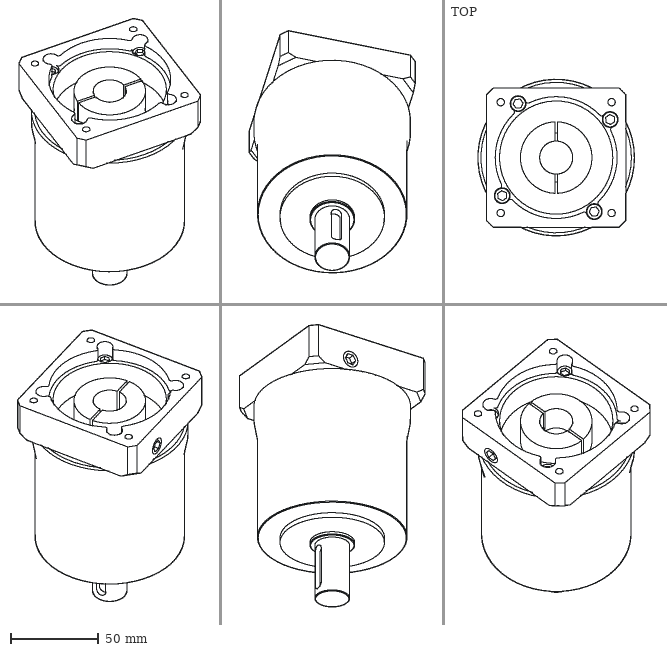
import cadquery as cq
import math

total_height = 150.5

flange_side = 80.0
flange_height = 23.6
flange_corner = 3.9
flange_base_bevel = 3.2
pilot_bore_dia = 70.0
pilot_bore_depth = 8.0
clearance_bore_dia = 65.0
flange_spigot_dia = 70.0
flange_spigot_length = 2.7

motor_hole_count = 4
motor_hole_first_angle = 45.0
motor_hole_dia = 4.2
motor_hole_radius = 45.0
motor_hole_depth = 12.0
drill_tip_angle = 118.0

pocket_count = 4
pocket_circle_radius = 38.0
pocket_first_angle = 35.2
pocket_dia = 9.0
pocket_depth = 12.0
pocket_mouth_fillet = 1.5
head_dia = 8.5
head_height = 2.4
head_socket_width = 5.0
head_socket_depth = 2.3

plug_dia = 10.0
plug_length = 6.0
plug_y = 14.0
plug_drop = 16.0
plug_socket_width = 6.0
plug_socket_depth = 3.9

hub_dia = 41.1
hub_bore_dia = 19.0
hub_drop = 9.0
hub_slot_width = 1.5
hub_web_dia = 28.3
hub_web_height = 2.3

collar_dia = 90.0
collar_bevel_height = 0.6
collar_bevel_width = 1.8
collar_height = 10.2
taper_height = 11.5
barrel_dia = 86.0
barrel_bottom_z = 40.0
barrel_bevel = 0.5
boss_dia = 60.0
boss_height = 3.0
seal_dia = 25.7
seal_height = 2.0
seal_bevel = 0.5

shaft_dia = 20.0
shaft_bevel = 0.5
keyway_width = 6.0
keyway_length = 28.0
keyway_depth = 3.5
keyway_end_gap = 4.0

flange_half = flange_side / 2
flange_bottom_z = total_height - flange_height
cavity_floor_z = flange_bottom_z - flange_spigot_length
pilot_ledge_z = total_height - pilot_bore_depth
pocket_floor_z = total_height - pocket_depth
head_top_z = pocket_floor_z + head_height
hub_height = total_height - hub_drop - cavity_floor_z


def across_corners(width_across_flats):
    return width_across_flats / math.cos(math.radians(30))


def cylinder(diameter, bottom_z, height):
    return cq.Workplane("XY", origin=(0, 0, bottom_z)).circle(diameter / 2).extrude(height)


def turned(points):
    """Solid of revolution about Z from (radius, z) points."""
    return cq.Workplane("XZ").polyline(points).close().revolve(360, (0, 0, 0), (0, 1, 0))


def make_keyway():
    middle_z = keyway_end_gap + keyway_length / 2
    return (
        cq.Workplane("XZ", origin=(0, shaft_dia / 2, middle_z))
        .slot2D(keyway_length, keyway_width, 90)
        .extrude(keyway_depth)
    )


def make_housing():
    collar_r = collar_dia / 2
    barrel_r = barrel_dia / 2
    boss_r = boss_dia / 2
    seal_r = seal_dia / 2
    shaft_r = shaft_dia / 2
    taper_top_z = flange_bottom_z - collar_height
    boss_bottom_z = barrel_bottom_z - boss_height
    seal_bottom_z = boss_bottom_z - seal_height
    body = turned([
        (0, 0),
        (shaft_r - shaft_bevel, 0),
        (shaft_r, shaft_bevel),
        (shaft_r, seal_bottom_z),
        (seal_r - seal_bevel, seal_bottom_z),
        (seal_r, seal_bottom_z + seal_bevel),
        (seal_r, boss_bottom_z),
        (boss_r, boss_bottom_z),
        (boss_r, barrel_bottom_z),
        (barrel_r - barrel_bevel, barrel_bottom_z),
        (barrel_r, barrel_bottom_z + barrel_bevel),
        (barrel_r, taper_top_z - taper_height),
        (collar_r, taper_top_z),
        (collar_r, flange_bottom_z - collar_bevel_height),
        (collar_r - collar_bevel_width, flange_bottom_z),
        (0, flange_bottom_z),
    ])
    spigot_seat = cylinder(flange_spigot_dia, cavity_floor_z, flange_spigot_length)
    return body.cut(spigot_seat).cut(make_keyway())


def make_plate():
    plate = (
        cq.Workplane("XY", origin=(0, 0, flange_bottom_z))
        .rect(flange_side, flange_side)
        .extrude(flange_height)
        .edges("|Z")
        .chamfer(flange_corner)
    )
    corner_distance = (flange_side - flange_corner) / math.sqrt(2)
    bevel = (
        cq.Workplane("XZ")
        .moveTo(corner_distance, flange_bottom_z + flange_base_bevel)
        .lineTo(corner_distance - flange_base_bevel, flange_bottom_z)
        .lineTo(corner_distance, flange_bottom_z)
        .close()
        .extrude(flange_half, both=True)
    )
    for angle in (45, 135, 225, 315):
        plate = plate.cut(bevel.rotate((0, 0, 0), (0, 0, 1), angle))
    return plate


def pocket_places(z):
    return cq.Workplane("XY", origin=(0, 0, z)).polarArray(
        pocket_circle_radius, pocket_first_angle, 360, pocket_count
    )


def make_pilot_opening():
    """Pilot bore joined to the pockets, with the pocket mouths rounded."""
    pilot = cylinder(pilot_bore_dia, pilot_ledge_z, pilot_bore_depth)
    pockets = pocket_places(pilot_ledge_z).circle(pocket_dia / 2).extrude(pilot_bore_depth)
    return pilot.union(pockets).edges("|Z").fillet(pocket_mouth_fillet)


def make_pocket_floors():
    """Lower part of each pocket, left around its head, and the hexagon socket in the head."""
    depth = pilot_ledge_z - pocket_floor_z
    pockets = pocket_places(pocket_floor_z).circle(pocket_dia / 2).extrude(depth)
    heads = pocket_places(pocket_floor_z).circle(head_dia / 2).extrude(head_height)
    sockets = (
        pocket_places(head_top_z)
        .polygon(6, across_corners(head_socket_width))
        .extrude(-head_socket_depth)
    )
    return pockets.cut(heads).union(sockets)


def make_motor_holes():
    """Blind drilled holes with conical ends."""
    hole_r = motor_hole_dia / 2
    tip_height = hole_r / math.tan(math.radians(drill_tip_angle / 2))
    bottom_z = total_height - motor_hole_depth
    drill = turned([
        (0, bottom_z - tip_height),
        (hole_r, bottom_z),
        (hole_r, total_height),
        (0, total_height),
    ]).val()
    return (
        cq.Workplane("XY")
        .polarArray(motor_hole_radius, motor_hole_first_angle, 360, motor_hole_count)
        .eachpoint(lambda place: drill.moved(place), combine=False)
    )


def plug_plane():
    return cq.Workplane("YZ", origin=(-flange_half, plug_y, total_height - plug_drop))


def make_plug_blank():
    return plug_plane().circle(plug_dia / 2).extrude(plug_length)


def make_flange():
    spigot = cylinder(flange_spigot_dia, cavity_floor_z, flange_spigot_length)
    clearance_bore = cylinder(clearance_bore_dia, cavity_floor_z, total_height - cavity_floor_z)
    return (
        make_plate()
        .union(spigot)
        .cut(make_pilot_opening())
        .cut(make_pocket_floors())
        .cut(clearance_bore)
        .cut(make_motor_holes())
        .cut(make_plug_blank())
    )


def make_plug():
    socket = plug_plane().polygon(6, across_corners(plug_socket_width)).extrude(plug_socket_depth)
    return make_plug_blank().cut(socket)


def make_hub():
    """Split ring whose halves stay joined by a low web next to the bore."""
    ring = cylinder(hub_dia, cavity_floor_z, hub_height)
    bore = cylinder(hub_bore_dia, cavity_floor_z, hub_height)
    web = cylinder(hub_web_dia, cavity_floor_z, hub_web_height)
    slot = (
        cq.Workplane("XY", origin=(0, 0, cavity_floor_z))
        .rect(hub_slot_width, hub_dia)
        .extrude(hub_height)
        .cut(web)
    )
    return ring.cut(bore).cut(slot)


housing = make_housing().solids()
flange = make_flange().solids()
plug = make_plug().solids()
hub = make_hub().solids()

result = cq.Compound.makeCompound([housing.val(), flange.val(), plug.val(), hub.val()])